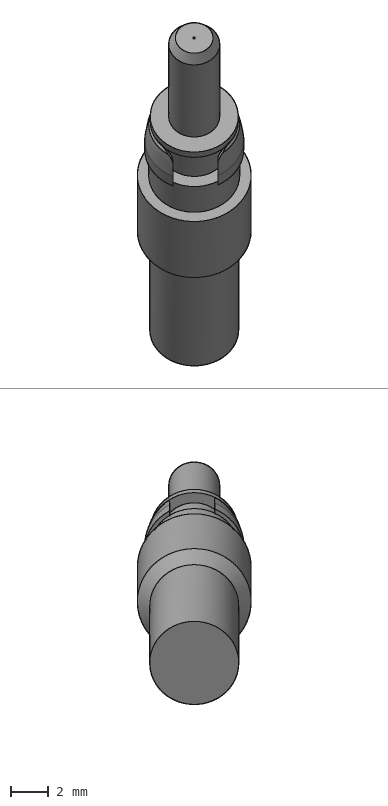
import cadquery as cq
import math

total_height = 26.7
collar_chamfer_end = 9.02
collar_top = 14.15
clip_bottom = 16.5
clip_band_top = 17.38
clip_shoulder = 18.82
clip_top = 18.98
flange_bottom = 19.06
flange_top = 19.55

barrel_radius = 4.7 / 2
neck_radius = 4.8 / 2
collar_radius = 6.0 / 2
groove_radius = 3.5 / 2
flange_radius = 4.65 / 2
pin_radius = 2.7 / 2
collar_chamfer_start = collar_chamfer_end - (collar_radius - barrel_radius)

tip_radius = 1.0
tip_chamfer_height = 0.55
center_mark_radius = 0.05
center_mark_depth = 0.1

clip_inner_radius = 2.25
clip_outer_radius = 2.62
clip_shoulder_radius = 2.4
clip_bulge = 0.03
gap_half_angle = 27
gap_direction = -52
gap_corner_radius = 0.7
gap_half_width = clip_outer_radius * math.sin(math.radians(gap_half_angle))


def turned_body():
    """Crimp barrel, collar, neck, clip groove, flange and pin in one revolve."""
    profile = cq.Workplane("XZ").polyline([
        (0, 0),
        (barrel_radius, 0),
        (barrel_radius, collar_chamfer_start),
        (collar_radius, collar_chamfer_end),
        (collar_radius, collar_top),
        (neck_radius, collar_top),
        (neck_radius, clip_bottom),
        (groove_radius, clip_bottom),
        (groove_radius, flange_bottom),
        (flange_radius, flange_bottom),
        (flange_radius, flange_top),
        (pin_radius, flange_top),
        (pin_radius, total_height - tip_chamfer_height),
        (tip_radius, total_height),
        (0, total_height),
    ]).close()
    return profile.revolve(360, (0, 0), (0, 1))


def center_mark():
    """Tiny blind hole in the pin tip."""
    mark = cq.Workplane("XY").circle(center_mark_radius).extrude(center_mark_depth)
    return mark.translate((0, 0, total_height - center_mark_depth))


def clip_ring():
    """Ring with a straight band below and a bulged taper above."""
    taper_middle = (
        (clip_outer_radius + clip_shoulder_radius) / 2 + clip_bulge,
        (clip_band_top + clip_shoulder) / 2,
    )
    profile = (
        cq.Workplane("XZ")
        .moveTo(clip_inner_radius, clip_bottom)
        .lineTo(clip_outer_radius, clip_bottom)
        .lineTo(clip_outer_radius, clip_band_top)
        .threePointArc(taper_middle, (clip_shoulder_radius, clip_shoulder))
        .lineTo(clip_inner_radius, clip_top)
        .close()
    )
    return profile.revolve(360, (0, 0), (0, 1))


def clip_gap():
    """Opening of the clip, flared at the top to round the clip's corners."""
    corner_start = clip_top - gap_corner_radius
    corner_end = gap_half_width + gap_corner_radius
    arc_offset = gap_corner_radius * math.sqrt(0.5)
    arc_x = corner_end - arc_offset
    arc_z = corner_start + arc_offset
    gap = (
        cq.Workplane("YZ")
        .moveTo(-gap_half_width, clip_bottom)
        .lineTo(gap_half_width, clip_bottom)
        .lineTo(gap_half_width, corner_start)
        .threePointArc((arc_x, arc_z), (corner_end, clip_top))
        .lineTo(-corner_end, clip_top)
        .threePointArc((-arc_x, arc_z), (-gap_half_width, corner_start))
        .close()
        .extrude(collar_radius)
    )
    return gap.rotate((0, 0, 0), (0, 0, 1), gap_direction)


clip = clip_ring().cut(clip_gap())
result = turned_body().cut(center_mark()).union(clip)